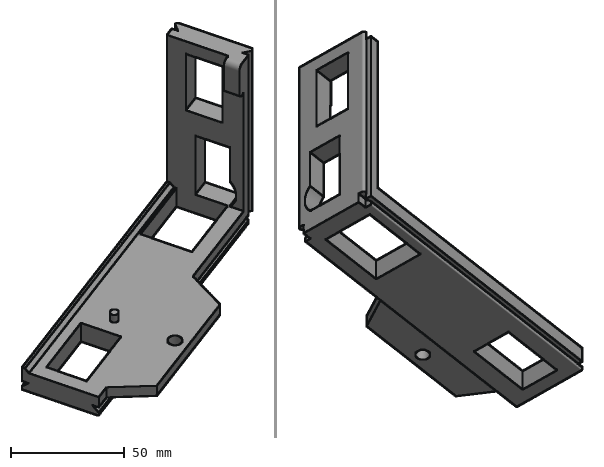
import cadquery as cq
import math

length = 148.11
height = 99.0
width = 38.0
overall_width = 57.17

rail_inset = 3.1
base_rail_depth = 5.0
upright_rail_depth = 4.7
base_lip_radius = 0.5
upright_lip_radius = 1.2

base_top = 11.0
upright_thickness = 9.4
upright_front = length - upright_thickness
base_rail_end = length - upright_rail_depth

ridge_height = 2.0
ridge_top_width = 1.5
ridge_foot_width = ridge_top_width + ridge_height

wing_center_y = 48.75
wing_outer_length = 60.7
wing_slope_angle = 30.0
screw_hole_diameter = 6.5
screw_hole_x = 50.5
pin_diameter = 3.85
pin_height = 4.4
pin_x = 20.5

window_length = 33.0
front_window_x = (8.5, 28.3)
front_window_start = 7.1
corner_window_x = (4.7, 30.1)
corner_window_start = 104.4
upper_window_x = (9.4, 27.4)
upper_window_start = 58.6
lower_window_x = (14.1, 31.1)
lower_window_top = 45.5
relief_diameter = 20.0
relief_right_x = 34.2
relief_center_z = 18.4

tab_width = 7.7
tab_height = 18.8
tab_depth = 4.2
tab_radius = 2.8


def box(x_range, y_range, z_range):
    """Box given by its two ends along each axis."""
    size = [high - low for low, high in (x_range, y_range, z_range)]
    corner = (x_range[0], y_range[0], z_range[0])
    return cq.Workplane("XY").box(*size, centered=False).translate(corner)


def dovetail_plate(thickness, rail_depth, lip_radius, run):
    """Plate with a dovetail rail along its lower face, extruded along +Z by run.

    The section lies in X (width) and Y (thickness), with the lip of the rail at Y = 0.
    """
    slope_start = rail_depth - rail_inset
    section = [
        (0, 0),
        (width, 0),
        (width, slope_start),
        (width - rail_inset, rail_depth),
        (width, rail_depth),
        (width, thickness),
        (0, thickness),
        (0, rail_depth),
        (rail_inset, rail_depth),
        (0, slope_start),
    ]
    plate = cq.Workplane("XY").polyline(section).close().extrude(run)
    return plate.edges("|Z and <Y").fillet(lip_radius)


def make_base():
    plate = dovetail_plate(base_top, base_rail_depth, base_lip_radius, base_rail_end)
    return plate.rotate((0, 0, 0), (1, 0, 0), 90).translate((0, base_rail_end, 0))


def make_upright():
    run = height - base_rail_depth
    plate = dovetail_plate(upright_thickness, upright_rail_depth, upright_lip_radius, run)
    return plate.mirror("XZ").translate((0, length, base_rail_depth))


def make_corner_block():
    """Block as wide as the rail necks, filling the corner where the two rails meet."""
    return box((rail_inset, width - rail_inset), (base_rail_end, length), (0, base_rail_depth))


def make_wing():
    slope_rise = (overall_width - width) * math.tan(math.radians(wing_slope_angle))
    half_outer = wing_outer_length / 2
    half_root = half_outer + slope_rise
    root_x = width - rail_inset
    outline = [
        (root_x, wing_center_y - half_root),
        (width, wing_center_y - half_root),
        (overall_width, wing_center_y - half_outer),
        (overall_width, wing_center_y + half_outer),
        (width, wing_center_y + half_root),
        (root_x, wing_center_y + half_root),
    ]
    plane = cq.Workplane("XY").workplane(offset=base_rail_depth)
    return plane.polyline(outline).close().extrude(base_top - base_rail_depth)


def make_ridge():
    section = [
        (0, base_top),
        (ridge_foot_width, base_top),
        (ridge_top_width, base_top + ridge_height),
        (0, base_top + ridge_height),
    ]
    return cq.Workplane("XZ").polyline(section).close().extrude(-upright_front)


def make_tab():
    x_range = (width - tab_width, width)
    tab = box(x_range, (upright_front - tab_depth, upright_front), (height - tab_height, height))
    return tab.edges("|X and <Y").fillet(tab_radius)


def base_windows():
    through = (0, base_top)
    front_end = front_window_start + window_length
    front = box(front_window_x, (front_window_start, front_end), through)
    corner = box(corner_window_x, (corner_window_start, upright_front), through)
    return front.union(corner)


def upright_windows():
    through = (upright_front, length)
    upper = box(upper_window_x, through, (upper_window_start, upper_window_start + window_length))
    lower = box(lower_window_x, through, (base_top, lower_window_top))
    relief_radius = relief_diameter / 2
    relief = (
        cq.Workplane("XZ", origin=(relief_right_x - relief_radius, upright_front, relief_center_z))
        .circle(relief_radius)
        .extrude(-upright_thickness)
    )
    window_band = box((lower_window_x[0], width), through, (base_top, lower_window_top))
    return upper.union(lower).union(relief.intersect(window_band))


def screw_hole():
    plane = cq.Workplane("XY", origin=(screw_hole_x, wing_center_y, base_rail_depth))
    return plane.circle(screw_hole_diameter / 2).extrude(base_top - base_rail_depth)


def make_bracket():
    bracket = make_base()
    for piece in (make_upright(), make_corner_block(), make_wing(), make_ridge(), make_tab()):
        bracket = bracket.union(piece)
    for opening in (base_windows(), upright_windows(), screw_hole()):
        bracket = bracket.cut(opening)
    return bracket.clean()


def make_pin():
    """Locating pin standing on the top face of the base."""
    plane = cq.Workplane("XY", origin=(pin_x, wing_center_y, base_top))
    return plane.circle(pin_diameter / 2).extrude(pin_height)


bracket = make_bracket()
pin = make_pin()
result = cq.Compound.makeCompound([bracket.val(), pin.val()])